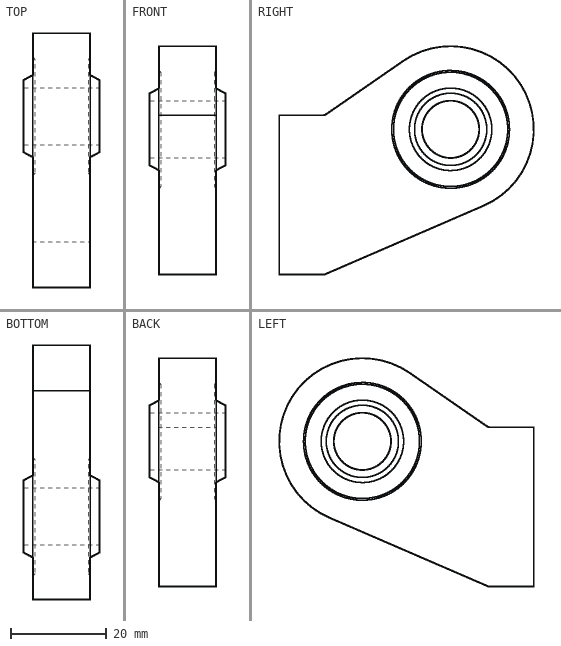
import cadquery as cq
import math

body_width = 12.0
eye_radius = 17.5
base_face_y = -36.0
base_depth = 9.6
base_top_z = 3.0
base_bottom_z = -30.5
corner_radius = 1.0

race_diameter = 24.0
groove_diameter = 24.75

ball_width = 16.0
bore_diameter = 12.0
collar_root_diameter = 17.35
collar_end_diameter = 15.2


def tangent_point(y, z, side):
    """Point where a line from (y, z) touches the eye circle."""
    offset = math.acos(eye_radius / math.hypot(y, z))
    angle = math.atan2(z, y) + side * offset
    return eye_radius * math.cos(angle), eye_radius * math.sin(angle)


def make_body():
    shoulder_y = base_face_y + base_depth
    upper_tangent = tangent_point(shoulder_y, base_top_z, -1)
    lower_tangent = tangent_point(shoulder_y, base_bottom_z, 1)
    body = (
        cq.Workplane("YZ")
        .moveTo(base_face_y, base_bottom_z)
        .lineTo(shoulder_y, base_bottom_z)
        .lineTo(*lower_tangent)
        .threePointArc((eye_radius, 0), upper_tangent)
        .lineTo(shoulder_y, base_top_z)
        .lineTo(base_face_y, base_top_z)
        .close()
        .extrude(body_width / 2, both=True)
    )
    shoulder = cq.selectors.NearestToPointSelector((0, shoulder_y, base_top_z))
    return body.edges(shoulder).fillet(corner_radius)


def make_groove(side):
    """Ring around the bearing race on one side face: 45 degree outer wall, straight inner wall."""
    face_x = side * body_width / 2
    race_radius = race_diameter / 2
    groove_radius = groove_diameter / 2
    groove_depth = groove_radius - race_radius
    return (
        cq.Workplane("XY")
        .moveTo(face_x, race_radius)
        .lineTo(face_x, groove_radius)
        .lineTo(face_x - side * groove_depth, race_radius)
        .close()
        .revolve(360, (0, 0, 0), (1, 0, 0))
    )


def make_collars():
    """Ball ends: a double cone widening towards each side face of the body."""
    return (
        cq.Workplane("XY")
        .moveTo(-ball_width / 2, 0)
        .lineTo(-ball_width / 2, collar_end_diameter / 2)
        .lineTo(-body_width / 2, collar_root_diameter / 2)
        .lineTo(body_width / 2, collar_root_diameter / 2)
        .lineTo(ball_width / 2, collar_end_diameter / 2)
        .lineTo(ball_width / 2, 0)
        .close()
        .revolve(360, (0, 0, 0), (1, 0, 0))
    )


bore = cq.Workplane("YZ").circle(bore_diameter / 2).extrude(ball_width, both=True)

result = make_body().union(make_collars())
for side in (-1, 1):
    result = result.cut(make_groove(side))
result = result.cut(bore)